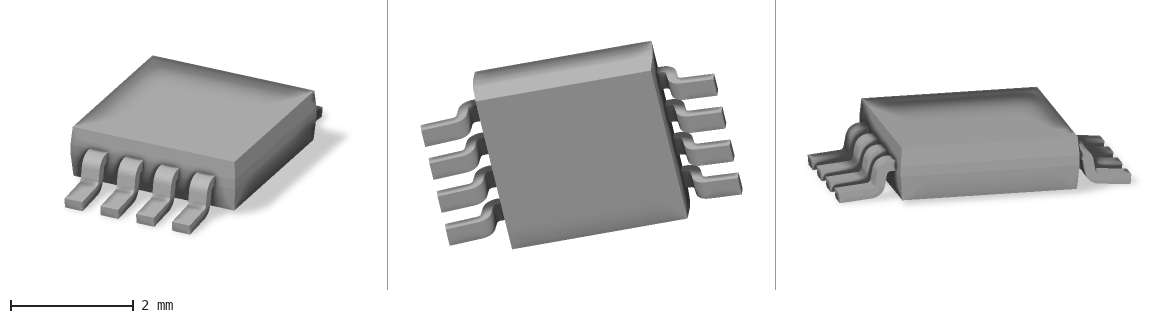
import cadquery as cq
import math

body_side = 3.0
overall_height = 0.97
body_bottom = 0.08
band_bottom = 0.49
draft_angle = 5.0

lead_thickness = 0.17
lead_width = 0.325
lead_pitch = 0.65
leads_per_side = 4
lead_span = 4.9
shoulder_length = 0.08
bend_radius = 0.07
leg_angle = math.radians(80)
foot_angle = math.radians(5)
root_depth = 0.1

band_top = band_bottom + lead_thickness
outer_radius = bend_radius + lead_thickness


def on_circle(center, radius, angle):
    """Point at an angle measured from +Z towards the lead tip."""
    return (center[0] + radius * math.sin(angle), center[1] + radius * math.cos(angle))


def make_body():
    band = cq.Workplane("XY").workplane(offset=band_bottom).rect(body_side, body_side).extrude(lead_thickness)
    upper = (
        cq.Workplane("XY").workplane(offset=band_top)
        .rect(body_side, body_side).extrude(overall_height - band_top, taper=draft_angle)
    )
    lower = (
        cq.Workplane("XY").workplane(offset=band_bottom)
        .rect(body_side, body_side).extrude(body_bottom - band_bottom, taper=draft_angle)
    )
    return band.union(upper).union(lower)


def lead_profile():
    """Closed lead outline in the YZ plane, on the +Y side."""
    body_face = body_side / 2
    root = body_face - root_depth
    bend_start = body_face + shoulder_length

    tip_top = (lead_span / 2, lead_thickness * math.cos(foot_angle))
    tip_bottom = (tip_top[0] - lead_thickness * math.sin(foot_angle), 0)

    shoulder_center = (bend_start, band_bottom - bend_radius)
    leg_start = on_circle(shoulder_center, outer_radius, leg_angle)
    bend_run = bend_radius * (math.sin(leg_angle) - math.sin(foot_angle))
    bend_drop = bend_radius * (math.cos(foot_angle) - math.cos(leg_angle))
    run = tip_top[0] - leg_start[0] - bend_run
    drop = leg_start[1] - tip_top[1] - bend_drop
    leg_length = (
        (drop * math.cos(foot_angle) - run * math.sin(foot_angle)) / math.sin(leg_angle - foot_angle)
    )

    leg_end = (
        leg_start[0] + leg_length * math.cos(leg_angle),
        leg_start[1] - leg_length * math.sin(leg_angle),
    )
    foot_center = on_circle(leg_end, bend_radius, leg_angle)

    half_leg = leg_angle / 2
    foot_leg_side = leg_angle + math.pi
    foot_tip_side = foot_angle + math.pi
    foot_middle = (foot_leg_side + foot_tip_side) / 2

    return (
        cq.Workplane("YZ")
        .moveTo(root, band_top)
        .lineTo(bend_start, band_top)
        .threePointArc(on_circle(shoulder_center, outer_radius, half_leg), leg_start)
        .lineTo(*leg_end)
        .threePointArc(
            on_circle(foot_center, bend_radius, foot_middle),
            on_circle(foot_center, bend_radius, foot_tip_side),
        )
        .lineTo(*tip_top)
        .lineTo(*tip_bottom)
        .lineTo(*on_circle(foot_center, outer_radius, foot_tip_side))
        .threePointArc(
            on_circle(foot_center, outer_radius, foot_middle),
            on_circle(foot_center, outer_radius, foot_leg_side),
        )
        .lineTo(*on_circle(shoulder_center, bend_radius, leg_angle))
        .threePointArc(
            on_circle(shoulder_center, bend_radius, half_leg),
            (bend_start, band_bottom),
        )
        .lineTo(root, band_bottom)
        .close()
    )


result = make_body()
lead = lead_profile().extrude(lead_width / 2, both=True)
opposite_lead = lead.mirror("XZ")
for index in range(leads_per_side):
    x = (index - (leads_per_side - 1) / 2) * lead_pitch
    result = result.union(lead.translate((x, 0, 0)))
    result = result.union(opposite_lead.translate((x, 0, 0)))